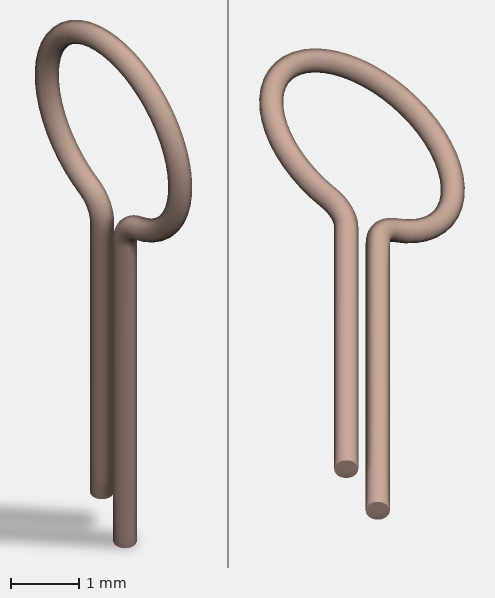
import cadquery as cq
import math

overall_height = 9.56
wire_diameter = 0.35
ring_outer_diameter = 3.55
leg_spacing = 0.55
bend_radius = 0.49
leg_length_difference = 0.57

wire_radius = wire_diameter / 2
ring_outer_radius = ring_outer_diameter / 2
ring_radius = ring_outer_radius - wire_radius
leg_x = leg_spacing / 2

bend_center_x = leg_x + bend_radius
center_distance = ring_radius + bend_radius
bend_z = -math.sqrt(center_distance**2 - bend_center_x**2)
joint_x = bend_center_x * ring_radius / center_distance
joint_z = bend_z * ring_radius / center_distance

half_bend_angle = math.atan2(-bend_z, bend_center_x) / 2
bend_mid_x = bend_center_x - bend_radius * math.cos(half_bend_angle)
bend_mid_z = bend_z + bend_radius * math.sin(half_bend_angle)

long_leg_end_z = ring_outer_radius - overall_height
short_leg_end_z = long_leg_end_z + leg_length_difference

wire_axis = (
    cq.Workplane("XZ")
    .moveTo(-leg_x, short_leg_end_z)
    .lineTo(-leg_x, bend_z)
    .threePointArc((-bend_mid_x, bend_mid_z), (-joint_x, joint_z))
    .threePointArc((0, ring_radius), (joint_x, joint_z))
    .threePointArc((bend_mid_x, bend_mid_z), (leg_x, bend_z))
    .lineTo(leg_x, long_leg_end_z)
)

result = (
    cq.Workplane("XY", origin=(-leg_x, 0, short_leg_end_z))
    .circle(wire_radius)
    .sweep(wire_axis)
)